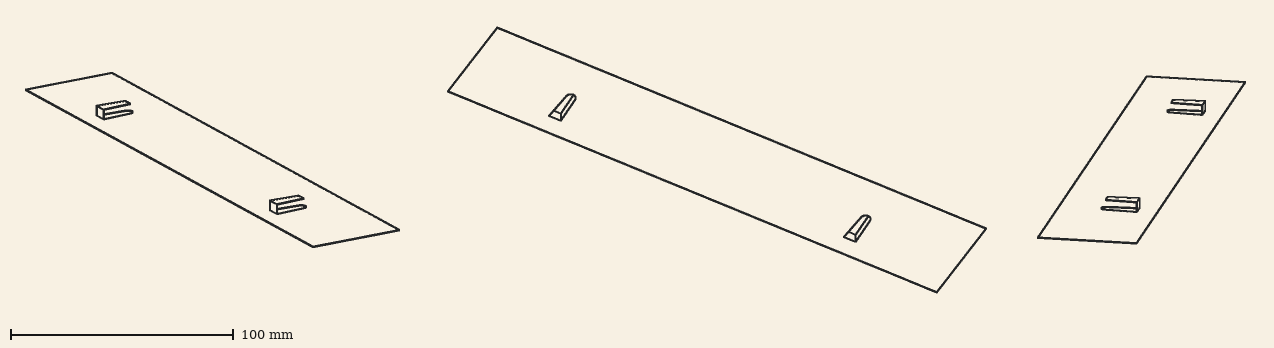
import cadquery as cq

length = 252.0
width = 45.0
sheet = 0.4
total_height = 5.0

hook_spacing = 152.0
bend_y = -13.5
root_width = 6.0
tip_width = 4.5
hook_tip_y = 1.0

opening_end_y = 3.3
tip_radius = tip_width / 2
taper_end_y = opening_end_y - tip_radius


def make_opening(center_x):
    """Tapered tongue opening starting behind the upright wall."""
    opening = (
        cq.Workplane("XY")
        .moveTo(center_x - root_width / 2, bend_y + sheet)
        .lineTo(center_x + root_width / 2, bend_y + sheet)
        .lineTo(center_x + tip_radius, taper_end_y)
        .threePointArc((center_x, opening_end_y), (center_x - tip_radius, taper_end_y))
        .close()
        .extrude(sheet)
    )
    return opening


def make_hook(center_x):
    """Upright wall at the bend and a tapered flat arm along its top."""
    wall = cq.Workplane("XY").box(root_width, sheet, total_height, centered=(True, False, False))
    wall = wall.translate((center_x, bend_y, 0))
    arm = (
        cq.Workplane("XY", origin=(0, 0, total_height - sheet))
        .moveTo(center_x - root_width / 2, bend_y)
        .lineTo(center_x + root_width / 2, bend_y)
        .lineTo(center_x + tip_radius, hook_tip_y)
        .lineTo(center_x - tip_radius, hook_tip_y)
        .close()
        .extrude(sheet)
    )
    return wall.union(arm)


result = cq.Workplane("XY").box(length, width, sheet, centered=(True, True, False))
for hook_x in (-hook_spacing / 2, hook_spacing / 2):
    result = result.cut(make_opening(hook_x)).union(make_hook(hook_x))